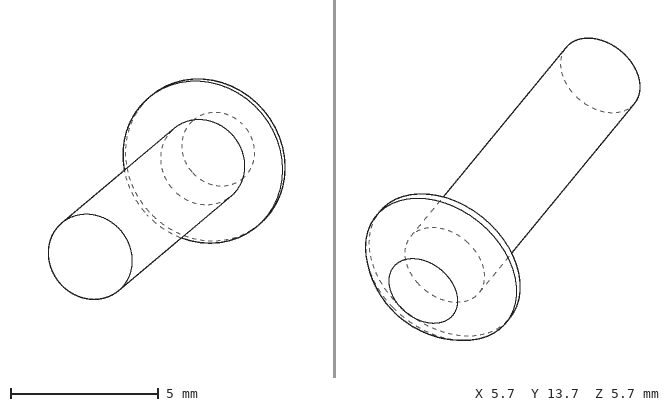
import cadquery as cq
import math

total_length = 13.65
shank_diameter = 3.0
head_diameter = 5.7
head_height = 1.65
rim_height = 0.29
crown_flat_diameter = 2.6
dome_radius = 3.28

shank_length = total_length - head_height
shank_radius = shank_diameter / 2
head_radius = head_diameter / 2
crown_flat_radius = crown_flat_diameter / 2


def dome_midpoint(start, end, radius):
    """Middle of the outward arc of the given radius joining two profile points."""
    chord_x = end[0] - start[0]
    chord_y = end[1] - start[1]
    chord = math.hypot(chord_x, chord_y)
    bulge = radius - math.sqrt(radius**2 - (chord / 2) ** 2)
    middle_x = (start[0] + end[0]) / 2 + bulge * chord_y / chord
    middle_y = (start[1] + end[1]) / 2 - bulge * chord_x / chord
    return middle_x, middle_y


rim_edge = (head_radius, rim_height)
crown_edge = (crown_flat_radius, head_height)
profile = (
    cq.Workplane("XY")
    .moveTo(0, -shank_length)
    .lineTo(shank_radius, -shank_length)
    .lineTo(shank_radius, 0)
    .lineTo(head_radius, 0)
    .lineTo(*rim_edge)
    .threePointArc(dome_midpoint(rim_edge, crown_edge, dome_radius), crown_edge)
    .lineTo(0, head_height)
    .close()
)
result = profile.revolve(360, (0, 0, 0), (0, 1, 0))